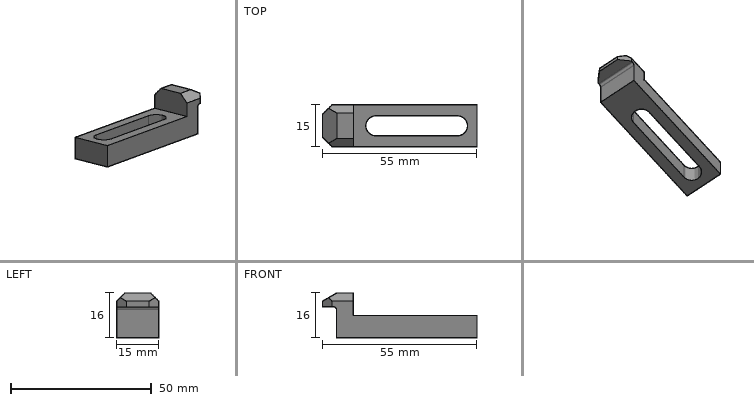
import cadquery as cq
import math

length = 55.0
width = 15.0
total_height = 16.0
base_height = 8.0

lip_reach = 5.0
lip_underside = 11.0
nose_length = 11.0
nose_front_height = 13.0
nose_slope_angle = 30.0
underside_fillet = 1.0
top_edge_chamfer = 3.0
corner_chamfer = 3.5

slot_start = 15.5
slot_length = 36.0
slot_width = 7.0

half_width = width / 2


def clamp_body():
    """Side profile with the overhanging lip at X = 0, extruded across the width."""
    slope_run = (total_height - nose_front_height) / math.tan(math.radians(nose_slope_angle))
    return (
        cq.Workplane("XZ")
        .moveTo(lip_reach, 0)
        .lineTo(length, 0)
        .lineTo(length, base_height)
        .lineTo(nose_length, base_height)
        .lineTo(nose_length, total_height)
        .lineTo(slope_run, total_height)
        .lineTo(0, nose_front_height)
        .lineTo(0, lip_underside)
        .lineTo(lip_reach - underside_fillet, lip_underside)
        .radiusArc((lip_reach, lip_underside - underside_fillet), underside_fillet)
        .close()
        .extrude(half_width, both=True)
    )


def top_edge_cutter(side):
    """Prism that bevels one long top edge of the nose; side is -1 or +1."""
    outer = side * half_width
    inner = side * (half_width - top_edge_chamfer)
    return (
        cq.Workplane("YZ")
        .polyline([(inner, total_height), (outer, total_height), (outer, total_height - top_edge_chamfer)])
        .close()
        .extrude(nose_length)
    )


def corner_cutter(side):
    """Prism that bevels one vertical front corner of the lip; side is -1 or +1."""
    outer = side * half_width
    inner = side * (half_width - corner_chamfer)
    return (
        cq.Workplane("XY")
        .polyline([(0, inner), (0, outer), (corner_chamfer, outer)])
        .close()
        .extrude(total_height)
    )


def slot_cutter():
    """Round-ended slot through the base."""
    return (
        cq.Workplane("XY")
        .center(slot_start + slot_length / 2, 0)
        .slot2D(slot_length, slot_width)
        .extrude(base_height)
    )


result = clamp_body().cut(slot_cutter())
for side in (-1, 1):
    result = result.cut(top_edge_cutter(side)).cut(corner_cutter(side))